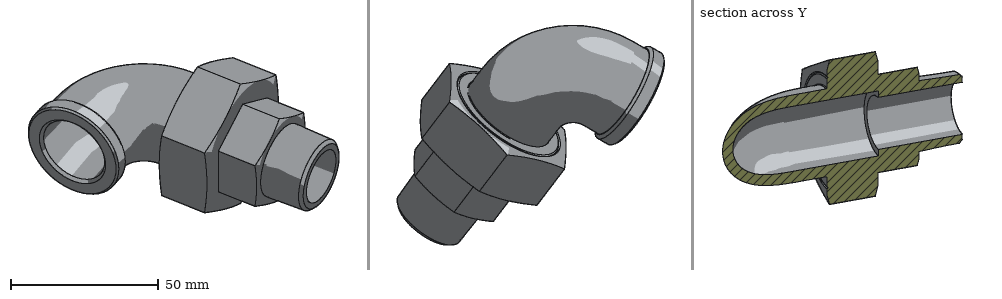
import cadquery as cq
import math


pipe_radius = 16.5
bore_radius = 12.1
bend_radius = 21.4
bore_bend_radius = 18.2

inlet_y = -33.0
collar_radius = 18.0
collar_width = 5.8
collar_front_chamfer = 0.7
collar_back_chamfer = 0.9
collar_root_rise = 0.3
mouth_radius = 13.15
mouth_depth = mouth_radius - bore_radius

nut_start_x = 28.6
nut_end_x = 47.6
nut_flats = 46.9
hex_chamfer_angle = math.radians(15)
pipe_root_fillet = 0.3

groove_outer_radius = 21.1
groove_bottom_radius = 20.7
groove_inner_radius = 20.2
groove_depth = 0.4

outlet_hex_end_x = 62.8
outlet_hex_flats = 31.9
neck_end_x = 64.0
outlet_end_x = 78.7
neck_radius = 13.3
thread_end_radius = 13.0
thread_chamfer = 1.2
outlet_bore_radius = 9.7


def revolve_about_x(points):
    """Turn a profile of (x, radius) points about the X axis."""
    return cq.Workplane("XY").polyline(points).close().revolve(360, (0, 0, 0), (1, 0, 0))


def revolve_about_y(points):
    """Turn a profile of (radius, y) points about the Y axis."""
    return cq.Workplane("XY").polyline(points).close().revolve(360, (0, 0, 0), (0, 1, 0))


def bent_rod(radius, turn_radius, start_y, end_x):
    """Round rod that runs along +Y, turns a right angle and runs on along +X."""
    path = (
        cq.Workplane("XY")
        .moveTo(0, start_y)
        .lineTo(0, -turn_radius)
        .radiusArc((turn_radius, 0), turn_radius)
        .lineTo(end_x, 0)
    )
    return cq.Workplane("XZ", origin=(0, start_y, 0)).circle(radius).sweep(path)


def chamfered_hexagon(start_x, end_x, flats, chamfer_start):
    """Hexagon along X with corners on Z, its corners turned off at the end and maybe the start."""
    corner_radius = flats / math.sqrt(3)
    face_radius = flats / 2
    setback = (corner_radius - face_radius) * math.tan(hex_chamfer_angle)
    hexagon = (
        cq.Workplane("YZ", origin=(start_x, 0, 0))
        .polygon(6, 2 * corner_radius)
        .extrude(end_x - start_x)
        .rotate((0, 0, 0), (1, 0, 0), 90)
    )
    if chamfer_start:
        start_points = [(start_x, face_radius), (start_x + setback, corner_radius)]
    else:
        start_points = [(start_x, corner_radius)]
    envelope = revolve_about_x(
        [(start_x, 0)]
        + start_points
        + [(end_x - setback, corner_radius), (end_x, face_radius), (end_x, 0)]
    )
    return hexagon.intersect(envelope)


def inlet_collar():
    back_y = inlet_y + collar_width
    return revolve_about_y([
        (0, inlet_y),
        (collar_radius - collar_front_chamfer, inlet_y),
        (collar_radius, inlet_y + collar_front_chamfer),
        (collar_radius, back_y - collar_back_chamfer),
        (pipe_radius + collar_root_rise, back_y),
        (0, back_y),
    ])


def pipe_root():
    """Small concave fillet where the pipe meets the flange face."""
    base_x = nut_start_x
    return (
        cq.Workplane("XY")
        .moveTo(base_x - pipe_root_fillet, 0)
        .lineTo(base_x - pipe_root_fillet, pipe_radius)
        .radiusArc((base_x, pipe_radius + pipe_root_fillet), -pipe_root_fillet)
        .lineTo(base_x, 0)
        .close()
        .revolve(360, (0, 0, 0), (1, 0, 0))
    )


def flange_groove():
    return revolve_about_x([
        (nut_start_x, groove_outer_radius),
        (nut_start_x + groove_depth, groove_bottom_radius),
        (nut_start_x, groove_inner_radius),
    ])


def male_thread():
    """Plain neck, tapered thread surface and end chamfer."""
    return revolve_about_x([
        (outlet_hex_end_x, 0),
        (outlet_hex_end_x, neck_radius),
        (neck_end_x, neck_radius),
        (outlet_end_x - thread_chamfer, thread_end_radius),
        (outlet_end_x, thread_end_radius - thread_chamfer),
        (outlet_end_x, 0),
    ])


def inlet_mouth():
    return revolve_about_y([
        (0, inlet_y),
        (mouth_radius, inlet_y),
        (bore_radius, inlet_y + mouth_depth),
        (0, inlet_y + mouth_depth),
    ])


def outlet_bore():
    length = outlet_end_x - nut_end_x
    return cq.Workplane("YZ", origin=(nut_end_x, 0, 0)).circle(outlet_bore_radius).extrude(length)


nut = chamfered_hexagon(nut_start_x, nut_end_x, nut_flats, chamfer_start=True)
outlet_hex = chamfered_hexagon(nut_end_x, outlet_hex_end_x, outlet_hex_flats, chamfer_start=False)

result = (
    bent_rod(pipe_radius, bend_radius, inlet_y + collar_width / 2, nut_start_x)
    .union(inlet_collar())
    .union(nut.cut(flange_groove()))
    .union(pipe_root())
    .union(outlet_hex)
    .union(male_thread())
    .cut(bent_rod(bore_radius, bore_bend_radius, inlet_y, nut_end_x))
    .cut(inlet_mouth())
    .cut(outlet_bore())
)